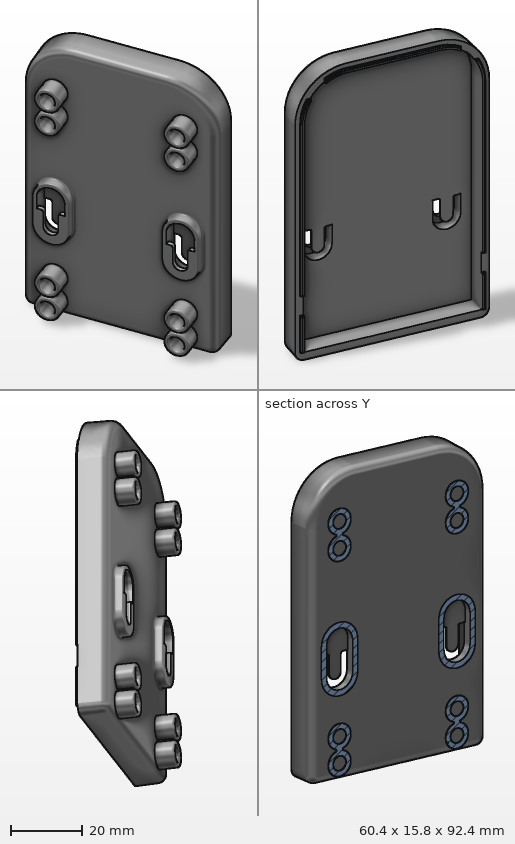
import cadquery as cq


WIDTH = 60.35
HEIGHT = 92.4
DEPTH = 9.05
TOP_CORNER_R = 16.0
BOTTOM_CORNER_R = 2.85
DRAFT_DEG = 1.5
FRONT_FILLET = 2.5
WALL = 2.5
PLATE = 2.7

LIP_INSET = 1.5
LIP_HEIGHT = 1.0
LIP_CHAMFER = 0.35
TOP_LIP_HALF_WIDTH = 21.2
SIDE_LIP_SPANS = [(2.8, 14.6), (21.0, 83.8)]

PITCH = 8.0
COLUMN_X = 2.5 * PITCH
LOWEST_TUBE_Z = 5.2
PAIR_SPACING = 8 * PITCH
TUBE_D = 7.8
TUBE_BORE = 4.9
TUBE_BORE_FOOT = 4.3
TUBE_LENGTH = 5.7
TUBE_TIP_FILLET = 0.65
WEB_WIDTH = 2.2
WEB_LENGTH = 4.6

HANGER_TOP_Z = 41.0
HANGER_BOTTOM_Z = 31.5
BOSS_R = 5.65
BOSS_HEIGHT = 2.95
BOSS_FOOT_FILLET = 0.85
BOSS_EDGE_FILLET = 0.4
HEAD_R = 4.35
SLOT_R = 2.3
SHOULDER_Z = 37.1
SHOULDER_FILLET = 0.8
SLOT_SLAB = 1.5
BACKING_DEPTH = 5.1
BACKING_GAP = 0.35

SELECT_MARGIN = 0.1


def front_plane(y):
    """Sketch plane at the given Y; local axes are X and Z, extrusion runs towards -Y."""
    return cq.Workplane("XZ", origin=(0, y, 0))


def outline(y, inset):
    """Cover outline, with large top corners and small bottom ones, moved inwards by the inset."""
    side = WIDTH / 2 - inset
    bottom = inset
    top = HEIGHT - inset
    top_r = TOP_CORNER_R - inset
    bottom_r = BOTTOM_CORNER_R - inset
    sketch = front_plane(y).moveTo(-side, bottom + bottom_r)
    sketch = sketch.lineTo(-side, top - top_r)
    sketch = sketch.radiusArc((-side + top_r, top), top_r)
    sketch = sketch.lineTo(side - top_r, top)
    sketch = sketch.radiusArc((side, top - top_r), top_r)
    sketch = sketch.lineTo(side, bottom + bottom_r)
    sketch = sketch.radiusArc((side - bottom_r, bottom), bottom_r)
    sketch = sketch.lineTo(-side + bottom_r, bottom)
    sketch = sketch.radiusArc((-side, bottom + bottom_r), bottom_r)
    return sketch.close()


def cover_shell():
    """Drafted shell, open at the back, with a rounded front edge."""
    body = outline(DEPTH, 0).extrude(DEPTH, taper=DRAFT_DEG)
    body = body.faces("<Y").edges().fillet(FRONT_FILLET)
    cavity = outline(DEPTH, WALL).extrude(DEPTH - PLATE)
    return body.cut(cavity)


def box_between(x_span, y_span, z_span):
    """Box filling the given X, Y and Z spans."""
    size = [span[1] - span[0] for span in (x_span, y_span, z_span)]
    corner = (x_span[0], y_span[0], z_span[0])
    return cq.Workplane("XY").box(*size, centered=False).translate(corner)


def lip():
    """Interrupted lip along the inner edge of the top and side walls."""
    rim_back = DEPTH + LIP_HEIGHT
    ring = outline(rim_back, LIP_INSET).extrude(LIP_HEIGHT)
    ring = ring.faces(">Y").edges().chamfer(LIP_CHAMFER)
    ring = ring.cut(outline(rim_back, WALL).extrude(LIP_HEIGHT))
    rim_span = (DEPTH, rim_back)
    top_start = HEIGHT - TOP_CORNER_R / 2
    top_half = TOP_LIP_HALF_WIDTH
    keep = box_between((-top_half, top_half), rim_span, (top_start, HEIGHT))
    for z_span in SIDE_LIP_SPANS:
        for x_span in ((-WIDTH / 2, -top_half), (top_half, WIDTH / 2)):
            keep = keep.union(box_between(x_span, rim_span, z_span))
    keep = keep.faces(">Y").edges().chamfer(LIP_CHAMFER)
    return ring.intersect(keep)


def tube(x, z):
    """Hollow stud tube on the front face, with a rounded tip and a bore narrowing towards its foot."""
    post = front_plane(0).center(x, z).circle(TUBE_D / 2).extrude(TUBE_LENGTH)
    return post.cut(bore(x, z)).faces("<Y").edges().fillet(TUBE_TIP_FILLET)


def bore(x, z):
    """Tapered blind bore of a stud tube, reaching down to the front face."""
    foot = front_plane(0).center(x, z).circle(TUBE_BORE_FOOT / 2)
    return foot.workplane(offset=TUBE_LENGTH).circle(TUBE_BORE / 2).loft()


def tube_pair(x, z):
    """Two tubes one pitch apart, with a narrow web closing the gap between them."""
    web = front_plane(0).center(x, z + PITCH / 2)
    web = web.rect(WEB_WIDTH, PITCH - TUBE_BORE).extrude(WEB_LENGTH)
    for tube_z in (z, z + PITCH):
        web = web.cut(bore(x, tube_z)).union(tube(x, tube_z))
    return web


def stadium(x, y, radius, depth):
    """Upright rounded slot shape between the two hanger centres, extruded towards -Y."""
    length = HANGER_TOP_Z - HANGER_BOTTOM_Z + 2 * radius
    middle = (HANGER_TOP_Z + HANGER_BOTTOM_Z) / 2
    return front_plane(y).center(x, middle).slot2D(length, 2 * radius, 90).extrude(depth)


def keyhole(x, y, gap, depth):
    """Keyhole prism: wide arched head above a narrow slot; the gap shrinks its lower part."""
    shoulder = SHOULDER_Z + gap
    slot_r = SLOT_R - gap
    sketch = front_plane(y).center(x, 0).moveTo(-HEAD_R, shoulder)
    sketch = sketch.lineTo(-HEAD_R, HANGER_TOP_Z)
    sketch = sketch.threePointArc((0, HANGER_TOP_Z + HEAD_R), (HEAD_R, HANGER_TOP_Z))
    sketch = sketch.lineTo(HEAD_R, shoulder).lineTo(slot_r, shoulder)
    sketch = sketch.lineTo(slot_r, HANGER_BOTTOM_Z)
    sketch = sketch.threePointArc((0, HANGER_BOTTOM_Z - slot_r), (-slot_r, HANGER_BOTTOM_Z))
    sketch = sketch.lineTo(-slot_r, shoulder).close()
    prism = sketch.extrude(depth)
    inner_corners = cq.selectors.BoxSelector(
        (x - SLOT_R - SELECT_MARGIN, y - depth, shoulder - SELECT_MARGIN),
        (x + SLOT_R + SELECT_MARGIN, y, shoulder + SELECT_MARGIN),
    )
    return prism.edges("|Y").edges(inner_corners).fillet(SHOULDER_FILLET)


def add_hanger(cover, x):
    """Raised keyhole boss with a screw-head pocket behind its slot and a thin backing."""
    boss = stadium(x, 0, BOSS_R, BOSS_HEIGHT).faces("<Y").edges().fillet(BOSS_EDGE_FILLET)
    pocket = stadium(x, PLATE, HEAD_R, PLATE + BOSS_HEIGHT - SLOT_SLAB)
    opening = keyhole(x, PLATE, 0, PLATE + BOSS_HEIGHT)
    backing = keyhole(x, PLATE, BACKING_GAP, PLATE + BOSS_HEIGHT - BACKING_DEPTH)
    cover = cover.union(boss)
    foot_edges = cq.selectors.BoxSelector(
        (x - BOSS_R - SELECT_MARGIN, -SELECT_MARGIN, HANGER_BOTTOM_Z - BOSS_R - SELECT_MARGIN),
        (x + BOSS_R + SELECT_MARGIN, SELECT_MARGIN, HANGER_TOP_Z + BOSS_R + SELECT_MARGIN),
    )
    cover = cover.edges(foot_edges).fillet(BOSS_FOOT_FILLET)
    return cover.cut(pocket).cut(opening).union(backing)


result = cover_shell().union(lip())
for column_x in (-COLUMN_X, COLUMN_X):
    result = add_hanger(result, column_x)
    for pair_z in (LOWEST_TUBE_Z, LOWEST_TUBE_Z + PAIR_SPACING):
        result = result.union(tube_pair(column_x, pair_z))